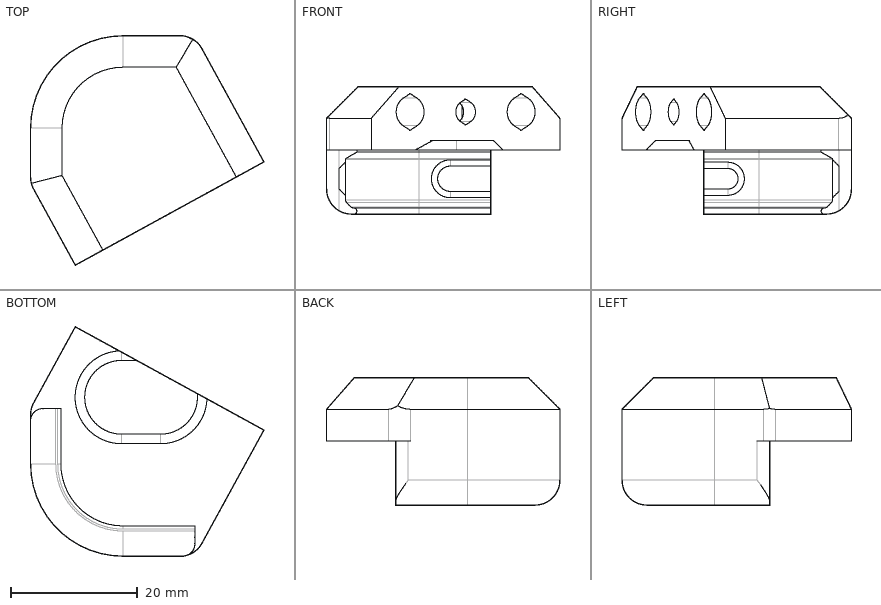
import cadquery as cq
import math


overall_length = 36.92

corner_radius = 14.62
slab_thickness = 10.0
top_chamfer = 5.0
side_fillet = 4.0
tilt = math.radians(28.7)

left_end_y = -8.75
back_end_x = 11.37
wall_height = 10.15
wall_thickness = 3.0
wall_end_round = 2.0
bottom_fillet = 4.0
lip_reach = 4.8
lip_thickness = 1.0
lip_tip_round = lip_thickness / 2
lip_chamfer = 1.05
lip_chamfer_round = 0.63
ceiling_step = 0.35
shoulder_slope = math.radians(30)
shoulder_round = 0.25

wall_pocket_depth = 1.0
wall_pocket_start = 4.95
wall_pocket_z = -4.55
back_pocket_radius = 2.0
left_pocket_radius = 1.62
recess_radius = 5.85
recess_depth = 1.5
recess_left = -0.22
recess_length = 6.15
recess_y = -10.52

hole_z = 6.0
hole_spacing = 10.0
dowel_radius = 2.5
dowel_depth = 10.0
screw_radius = 1.77
screw_depth = 3.9
nut_width = 5.55
nut_end = 6.25
peak_angle = math.radians(30)

tiny_gap = 3.69e-07

along = cq.Vector(math.cos(tilt), math.sin(tilt))
outward = cq.Vector(math.sin(tilt), -math.cos(tilt))

arc_middle = corner_radius * math.cos(math.radians(45))

left_corner = cq.Vector(-corner_radius, left_end_y)
back_corner = cq.Vector(back_end_x, corner_radius)
long_side = (overall_length - corner_radius - back_end_x) / math.sin(tilt)
short_side = long_side - (left_corner - back_corner).dot(outward)
face_left = left_corner + outward * short_side
face_right = back_corner + outward * long_side


def rounded_polygon(plane, corners):
    """Closed outline through (x, y, radius) corners; a radius of 0 stays sharp."""
    outline = None
    end = None
    for i, (x, y, radius) in enumerate(corners):
        corner = cq.Vector(x, y)
        before = (cq.Vector(*corners[i - 1][:2]) - corner).normalized()
        after = (cq.Vector(*corners[(i + 1) % len(corners)][:2]) - corner).normalized()
        half_angle = before.getAngle(after) / 2
        setback = radius / math.tan(half_angle)
        start = corner + before * setback
        bisector = (before + after).normalized()
        middle = corner + bisector * (radius / math.sin(half_angle) - radius)
        if outline is None:
            outline = plane.moveTo(start.x, start.y)
        elif (start - end).Length > tiny_gap:
            outline = outline.lineTo(start.x, start.y)
        end = corner + after * setback
        if radius > 0:
            outline = outline.threePointArc((middle.x, middle.y), (end.x, end.y))
    return outline.close()


def make_slab():
    overrun = outward * (2 * top_chamfer)
    far_left = face_left + overrun
    far_right = face_right + overrun
    block = (
        cq.Workplane("XY")
        .moveTo(0, corner_radius)
        .lineTo(back_corner.x, back_corner.y)
        .lineTo(far_right.x, far_right.y)
        .lineTo(far_left.x, far_left.y)
        .lineTo(left_corner.x, left_corner.y)
        .lineTo(-corner_radius, 0)
        .threePointArc((-arc_middle, arc_middle), (0, corner_radius))
        .close()
        .extrude(slab_thickness)
        .faces(">Z")
        .chamfer(top_chamfer)
    )
    footprint = [
        (left_corner.x, left_corner.y, side_fillet),
        (-corner_radius, corner_radius, corner_radius),
        (back_corner.x, back_corner.y, side_fillet),
        (face_right.x, face_right.y, 0),
        (face_left.x, face_left.y, 0),
    ]
    return block.intersect(rounded_polygon(cq.Workplane("XY"), footprint).extrude(slab_thickness))


def make_wall():
    shoulder_z = -ceiling_step - (lip_reach - wall_thickness) * math.tan(shoulder_slope)
    lip_top = lip_thickness - wall_height
    section = [
        (0, 0, 0),
        (lip_reach, 0, 0),
        (lip_reach, -ceiling_step, 0),
        (wall_thickness, shoulder_z, shoulder_round),
        (wall_thickness, lip_top + lip_chamfer, lip_chamfer_round),
        (wall_thickness + lip_chamfer, lip_top, lip_chamfer_round),
        (lip_reach, lip_top, lip_tip_round),
        (lip_reach, -wall_height, lip_tip_round),
        (0, -wall_height, bottom_fillet),
    ]
    path = (
        cq.Workplane("XY")
        .moveTo(left_corner.x, left_corner.y)
        .lineTo(-corner_radius, 0)
        .threePointArc((-arc_middle, arc_middle), (0, corner_radius))
        .lineTo(back_corner.x, back_corner.y)
    )
    section_plane = cq.Workplane("XZ", origin=left_corner.toTuple())
    wall = rounded_polygon(section_plane, section).sweep(path)
    end_corners = [
        (left_corner.x, left_corner.y, wall_end_round),
        (left_corner.x, back_corner.y, 0),
        (back_corner.x, back_corner.y, wall_end_round),
        (back_corner.x, left_corner.y, 0),
    ]
    return wall.intersect(rounded_polygon(cq.Workplane("XY"), end_corners).extrude(-wall_height))


def tapered_slot(floor_plane, length, floor_radius, depth):
    """Slot from x = 0 to x = length between end centres, widening at 45 degrees from its floor."""
    return (
        cq.Workplane(floor_plane)
        .center(length / 2, 0)
        .slot2D(length + 2 * floor_radius, 2 * floor_radius)
        .extrude(depth, taper=-45)
    )


def wall_pockets():
    floor = corner_radius - wall_thickness + wall_pocket_depth
    back_plane = cq.Plane((wall_pocket_start, floor, wall_pocket_z), xDir=(1, 0, 0), normal=(0, -1, 0))
    left_plane = cq.Plane((-floor, -wall_pocket_start, wall_pocket_z), xDir=(0, -1, 0), normal=(1, 0, 0))
    back = tapered_slot(back_plane, back_end_x, back_pocket_radius, wall_pocket_depth)
    left = tapered_slot(left_plane, -left_end_y, left_pocket_radius, wall_pocket_depth)
    return back.union(left)


def underside_recess():
    plane = cq.Plane((recess_left, recess_y, recess_depth), xDir=(1, 0, 0), normal=(0, 0, -1))
    return tapered_slot(plane, recess_length, recess_radius, recess_depth)


def peaked_hole(plane, radius, depth):
    """Round hole with a pointed top and bottom."""
    peak = radius / math.cos(peak_angle)
    side = radius * math.sin(peak_angle)
    shoulder = radius * math.cos(peak_angle)
    right_side = [(0, peak), (side, shoulder), (side, -shoulder)]
    left_side = [(0, -peak), (-side, -shoulder), (-side, shoulder)]
    peaks = plane.polyline(right_side + left_side).close().extrude(-depth)
    return plane.circle(radius).extrude(-depth).union(peaks)


def mounting_holes():
    middle = (face_left + face_right) * 0.5 + cq.Vector(0, 0, hole_z)
    face = cq.Workplane(cq.Plane(middle, xDir=along, normal=outward))
    holes = peaked_hole(face, screw_radius, screw_depth)
    nut_plane = face.workplane(offset=-screw_depth)
    nut = nut_plane.polygon(6, nut_width, circumscribed=True).extrude(screw_depth - nut_end)
    holes = holes.union(nut)
    for offset in (-hole_spacing, hole_spacing):
        holes = holes.union(peaked_hole(face.center(offset, 0), dowel_radius, dowel_depth))
    return holes


result = make_slab().union(make_wall())
result = result.cut(wall_pockets()).cut(underside_recess()).cut(mounting_holes())